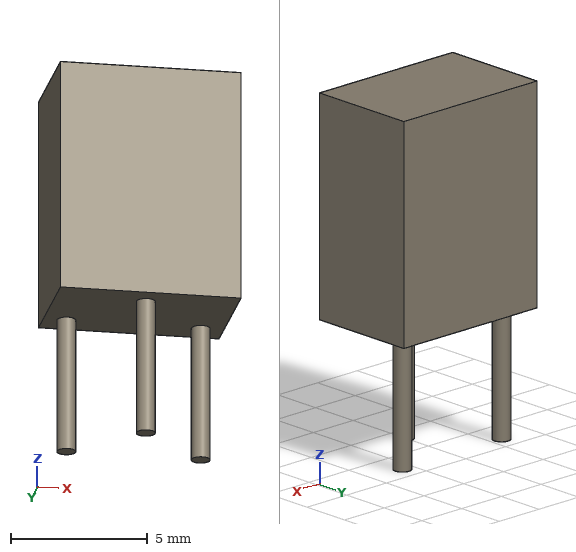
import cadquery as cq

housing_width = 6.71
housing_depth = 4.5
total_height = 13.87

pin_diameter = 0.7
pin_length = 5.1
pin_pitch = 2.5
row_offset = 0.01

housing_height = total_height - pin_length
back_row_y = row_offset + pin_pitch / 2
front_row_y = row_offset - pin_pitch / 2

pin_positions = [
    (-pin_pitch, back_row_y),
    (0, front_row_y),
    (pin_pitch, back_row_y),
]


def make_housing():
    """Plain rectangular block with its underside at Z = 0."""
    return cq.Workplane("XY").box(
        housing_width, housing_depth, housing_height, centered=(True, True, False)
    )


def make_pin(x, y):
    """Round pin hanging down from the underside of the housing."""
    return cq.Workplane("XY").center(x, y).circle(pin_diameter / 2).extrude(-pin_length)


housing = make_housing()
pins = [make_pin(x, y) for x, y in pin_positions]

result = cq.Compound.makeCompound([housing.val(), *[pin.val() for pin in pins]])